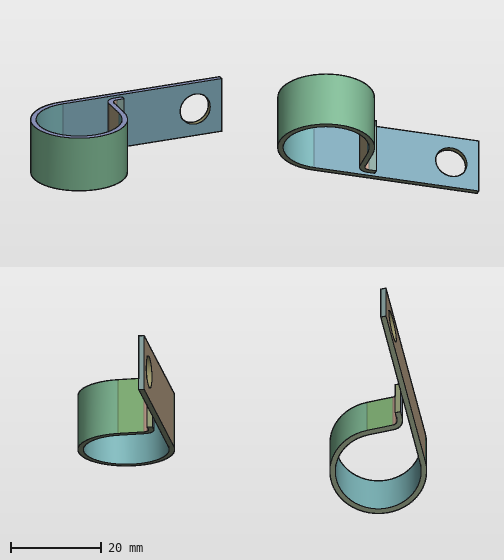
import cadquery as cq
import math

width = 12.7
thickness = 1.2
loop_radius = 10.75
total_length = 48.85
lip_bend_radius = 2.45
lip_bend_x = -5.85
lip_end_y = 13.68
hole_diameter = 7.2
hole_end_distance = 6.35

bore_radius = loop_radius - thickness
lip_bend_inner_radius = lip_bend_radius - thickness
tail_end_y = total_length - loop_radius
lip_bend_y = bore_radius + lip_bend_radius
lip_outer_x = lip_bend_x - lip_bend_radius
diagonal = math.sqrt(0.5)


def on_loop(radius):
    """Midpoint of the three-quarter loop arc."""
    return (radius * diagonal, -radius * diagonal)


def on_lip_bend(radius):
    """Midpoint of the quarter-turn lip bend."""
    return (lip_bend_x - radius * diagonal, lip_bend_y - radius * diagonal)


def make_strap():
    """Tail, loop, short flat and turned-up lip as one extruded outline."""
    return (
        cq.Workplane("XY")
        .moveTo(-loop_radius, tail_end_y)
        .lineTo(-loop_radius, 0)
        .threePointArc(on_loop(loop_radius), (0, loop_radius))
        .lineTo(lip_bend_x, loop_radius)
        .threePointArc(on_lip_bend(lip_bend_inner_radius), (lip_outer_x + thickness, lip_bend_y))
        .lineTo(lip_outer_x + thickness, lip_end_y)
        .lineTo(lip_outer_x, lip_end_y)
        .lineTo(lip_outer_x, lip_bend_y)
        .threePointArc(on_lip_bend(lip_bend_radius), (lip_bend_x, bore_radius))
        .lineTo(0, bore_radius)
        .threePointArc(on_loop(bore_radius), (-bore_radius, 0))
        .lineTo(-bore_radius, tail_end_y)
        .close()
        .extrude(width)
    )


def make_hole_cutter():
    """Cylinder through the tail only, along X."""
    return (
        cq.Workplane("YZ", origin=(-loop_radius, tail_end_y - hole_end_distance, width / 2))
        .circle(hole_diameter / 2)
        .extrude(thickness)
    )


result = make_strap().cut(make_hole_cutter())